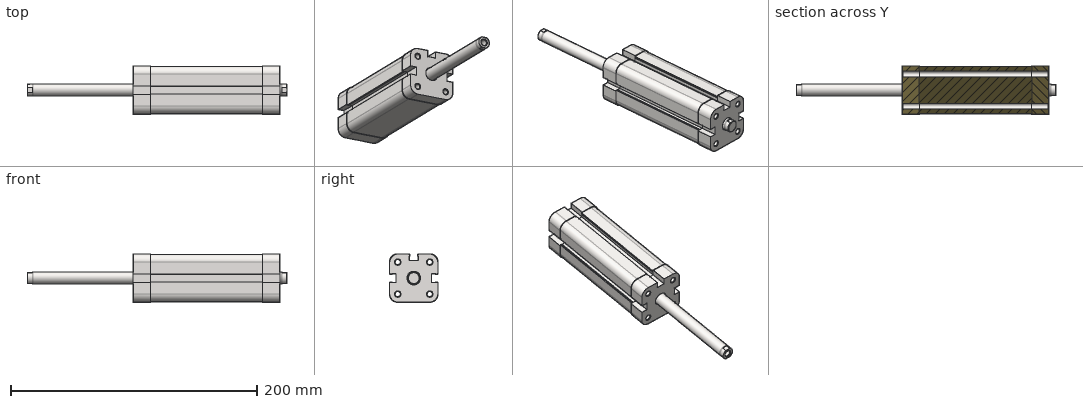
import cadquery as cq
import math


cap_length = 14.0
tube_length = 91.0
rod_front_reach = 86.0
rod_rear_reach = 6.0
body_length = 2 * cap_length + tube_length
rod_length = rod_front_reach + body_length + rod_rear_reach

cap_width = 39.5
tube_width = 38.5
bolt_spacing = 26.0
cap_corner_radius = (cap_width - bolt_spacing) / 2
tube_corner_radius = (tube_width - bolt_spacing) / 2

bolt_hole_diameter = 4.2
bolt_hole_mouth_diameter = 5.2
bolt_hole_chamfer = (bolt_hole_mouth_diameter - bolt_hole_diameter) / 2

slot_face_angles = (90, 0, -90)
slot_width = 7.0
slot_depth = 5.3
slot_floor = cap_width / 2 - slot_depth
slot_mouth_width = 6.0
slot_lip_thickness = 1.5
slot_lip_underside = tube_width / 2 - slot_lip_thickness

rod_diameter = 10.0
rod_tip_diameter = 9.9
rod_hole_clearance = 1.0
rod_hole_diameter = rod_diameter + rod_hole_clearance
rod_shoulder_height = (rod_diameter - rod_tip_diameter) / 2
rod_shoulder_length = 0.5
rod_rear_chamfer = 0.5
flat_length = 4.0
across_flats = 9.0
thread_bore_diameter = 5.0
thread_mouth_diameter = 6.0
thread_mouth_chamfer = (thread_mouth_diameter - thread_bore_diameter) / 2
thread_depth = 16.0
drill_tip_angle = 118.0


def x_cylinder(diameter, x_start, length):
    """Round bar on the rod axis."""
    return cq.Workplane("YZ", origin=(x_start, 0, 0)).circle(diameter / 2).extrude(length)


def rounded_block(width, corner_radius, x_start, length):
    """Square bar along X with rounded long edges."""
    block = cq.Workplane("YZ", origin=(x_start, 0, 0)).rect(width, width).extrude(length)
    return block.edges("|X").fillet(corner_radius)


def bolt_holes(x_start, length):
    """Four straight tie-bolt holes."""
    section = cq.Workplane("YZ", origin=(x_start, 0, 0))
    centres = section.rect(bolt_spacing, bolt_spacing, forConstruction=True).vertices()
    return centres.circle(bolt_hole_diameter / 2).extrude(length)


def slot_cutters(width, z_low, z_high, x_start, length):
    """The same straight channel in each slotted face."""
    channel = cq.Workplane("XY").box(length, width, z_high - z_low, centered=(False, True, False))
    channel = channel.translate((x_start, 0, z_low))
    return [channel.rotate((0, 0, 0), (1, 0, 0), angle) for angle in slot_face_angles]


def make_cap(x_start, outer_face):
    """End cap with plain slots, a clearance hole for the rod, and bolt holes chamfered at the outer face."""
    cap = rounded_block(cap_width, cap_corner_radius, x_start, cap_length)
    for cutter in slot_cutters(slot_width, slot_floor, cap_width / 2, x_start, cap_length):
        cap = cap.cut(cutter)
    cap = cap.cut(bolt_holes(x_start, cap_length))
    hole_mouths = cq.selectors.RadiusNthSelector(0)
    cap = cap.faces(outer_face).edges("%CIRCLE").edges(hole_mouths).chamfer(bolt_hole_chamfer)
    return cap.cut(x_cylinder(rod_hole_diameter, x_start, cap_length))


def make_tube():
    """Extruded barrel with lipped slots and a close-fitting rod hole."""
    tube = rounded_block(tube_width, tube_corner_radius, cap_length, tube_length)
    lower_channels = slot_cutters(slot_width, slot_floor, slot_lip_underside, cap_length, tube_length)
    mouths = slot_cutters(slot_mouth_width, slot_floor, tube_width / 2, cap_length, tube_length)
    for cutter in lower_channels + mouths:
        tube = tube.cut(cutter)
    tube = tube.cut(bolt_holes(cap_length, tube_length))
    return tube.cut(x_cylinder(rod_diameter, cap_length, tube_length))


def thread_bore(x_start):
    """Blind drilled hole into the front rod end, countersunk at the mouth, with a conical bottom."""
    bore_radius = thread_bore_diameter / 2
    tip_length = bore_radius / math.tan(math.radians(drill_tip_angle / 2))
    profile = (
        cq.Workplane("XY")
        .moveTo(x_start, 0)
        .lineTo(x_start, thread_mouth_diameter / 2)
        .lineTo(x_start + thread_mouth_chamfer, bore_radius)
        .lineTo(x_start + thread_depth, bore_radius)
        .lineTo(x_start + thread_depth + tip_length, 0)
        .close()
    )
    return profile.revolve(360, (0, 0, 0), (1, 0, 0))


def make_rod():
    """Rod running through the whole cylinder, with a slimmer tip and two wrench flats at each end."""
    front_end = -rod_front_reach
    rear_end = front_end + rod_length
    shank_start = front_end + flat_length
    shank_length = rod_length - 2 * flat_length
    rod = x_cylinder(rod_diameter, shank_start, shank_length)
    for end_face in ("<X", ">X"):
        rod = rod.faces(end_face).chamfer(rod_shoulder_length, rod_shoulder_height)
    rod = rod.union(x_cylinder(rod_tip_diameter, front_end, rod_length))
    rod = rod.faces(">X").chamfer(rod_rear_chamfer)
    cutter = cq.Workplane("XY").box(flat_length, rod_diameter, rod_diameter, centered=(False, True, True))
    cutter_height = (across_flats + rod_diameter) / 2
    for x_start in (front_end, rear_end - flat_length):
        for z_centre in (-cutter_height, cutter_height):
            rod = rod.cut(cutter.translate((x_start, 0, z_centre)))
    return rod.cut(thread_bore(front_end))


front_cap = make_cap(0, "<X")
rear_cap = make_cap(cap_length + tube_length, ">X")
tube = make_tube()
rod = make_rod()

result = cq.Compound.makeCompound([front_cap.val(), rear_cap.val(), tube.val(), rod.val()])